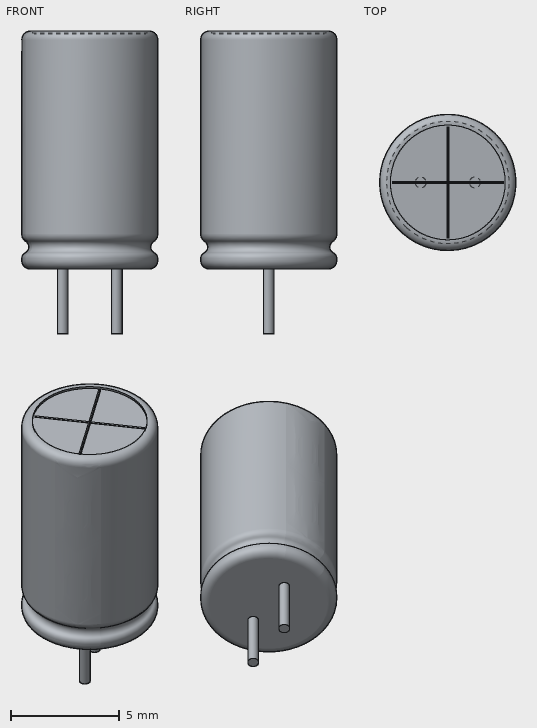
import cadquery as cq
import math

total_height = 14.0
can_radius = 3.15
can_base = 3.0

edge_radius = 0.4

neck_height = 4.02
neck_depth = 0.32
neck_arc_radius = 0.31
upper_bend_radius = edge_radius
lower_bend_radius = 0.3

recess_radius = 2.653
recess_depth = 0.1
vent_length = 5.12
vent_width = 0.1
vent_depth = vent_width / 2

lead_diameter = 0.5
lead_spacing = 2.5
lead_embed = 0.28

stripe_angle = 40.0
mark_pitch = 4.2
mark_line_width = 0.13
oval_width = 1.26
oval_height = 2.02
first_oval_height = 10.9
first_chevron_tip = 12.87
oval_heights = [first_oval_height - i * mark_pitch for i in range(2)]
chevron_half_width = can_radius * math.sin(math.radians(stripe_angle / 2))
chevron_rise = 0.73
chevron_tips = [first_chevron_tip - i * mark_pitch for i in range(3)]


def arc_point(center, radius, angle):
    """Point on a circle in the radius-height plane, angle in radians from the outward direction."""
    return (center[0] + radius * math.cos(angle), center[1] + radius * math.sin(angle))


def bend_layout(bend_radius, side):
    """Centre and sweep of a bend tangent to both wall and neck arc; side is +1 above, -1 below."""
    center_distance = bend_radius + neck_arc_radius
    sweep = math.acos(1 - neck_depth / center_distance)
    center = (can_radius - bend_radius, neck_height + side * center_distance * math.sin(sweep))
    return center, sweep


def make_can():
    """Solid of revolution with rounded ends and a smoothly rolled neck."""
    flat_radius = can_radius - edge_radius
    bottom_edge = (flat_radius, can_base + edge_radius)
    top_edge = (flat_radius, total_height - edge_radius)
    lower, lower_sweep = bend_layout(lower_bend_radius, -1)
    upper, upper_sweep = bend_layout(upper_bend_radius, 1)
    eighth_turn = math.pi / 4

    profile = (
        cq.Workplane("XZ")
        .moveTo(0, can_base)
        .lineTo(flat_radius, can_base)
        .threePointArc(
            arc_point(bottom_edge, edge_radius, -eighth_turn),
            arc_point(bottom_edge, edge_radius, 0),
        )
        .lineTo(*arc_point(lower, lower_bend_radius, 0))
        .threePointArc(
            arc_point(lower, lower_bend_radius, lower_sweep / 2),
            arc_point(lower, lower_bend_radius, lower_sweep),
        )
        .threePointArc(
            (can_radius - neck_depth, neck_height),
            arc_point(upper, upper_bend_radius, -upper_sweep),
        )
        .threePointArc(
            arc_point(upper, upper_bend_radius, -upper_sweep / 2),
            arc_point(upper, upper_bend_radius, 0),
        )
        .lineTo(*arc_point(top_edge, edge_radius, 0))
        .threePointArc(
            arc_point(top_edge, edge_radius, eighth_turn),
            arc_point(top_edge, edge_radius, 2 * eighth_turn),
        )
        .lineTo(0, total_height)
        .close()
    )
    seam_angle = 180 - stripe_angle / 2
    return profile.revolve(360, (0, 0), (0, 1)).rotate((0, 0, 0), (0, 0, 1), seam_angle)


def make_top_cutter():
    """Shallow round recess with two crossed V-grooves in its floor."""
    floor = total_height - recess_depth
    recess = cq.Workplane("XY").workplane(offset=floor).circle(recess_radius).extrude(recess_depth)
    groove = (
        cq.Workplane("XZ")
        .polyline([(-vent_width / 2, floor), (vent_width / 2, floor), (0, floor - vent_depth)])
        .close()
        .extrude(vent_length / 2, both=True)
    )
    crossing_groove = groove.rotate((0, 0, 0), (0, 0, 1), 90)
    return recess.union(groove).union(crossing_groove)


def make_leads():
    """Two round leads reaching a little way into the can."""
    return (
        cq.Workplane("XY")
        .pushPoints([(-lead_spacing / 2, 0), (lead_spacing / 2, 0)])
        .circle(lead_diameter / 2)
        .extrude(can_base + lead_embed)
    )


def make_stripe_sector():
    """Sector of a ring covering the polarity stripe over the full can height."""
    half_angle = math.radians(stripe_angle / 2)
    reach = 2 * can_radius
    side = reach * math.tan(half_angle)
    wedge = (
        cq.Workplane("XY")
        .workplane(offset=can_base)
        .polyline([(0, 0), (-reach, side), (-reach, -side)])
        .close()
        .extrude(total_height - can_base)
    )
    core = cq.Workplane("XY").circle(recess_radius).extrude(total_height)
    return wedge.cut(core)


def make_mark_prisms():
    """Oval rings and chevron bands, as prisms running from the axis out through the -X side."""
    side_plane = cq.Workplane("YZ")
    reach = -2 * can_radius
    oval_centers = [(0, height) for height in oval_heights]
    ovals = side_plane.pushPoints(oval_centers).slot2D(oval_height, oval_width, 90).extrude(reach)
    oval_insides = (
        side_plane.pushPoints(oval_centers)
        .slot2D(oval_height - 2 * mark_line_width, oval_width - 2 * mark_line_width, 90)
        .extrude(reach)
    )
    prisms = ovals.cut(oval_insides)
    for tip in chevron_tips:
        side_height = tip + chevron_rise
        chevron = (
            side_plane.moveTo(0, tip)
            .lineTo(chevron_half_width, side_height)
            .lineTo(chevron_half_width, side_height + mark_line_width)
            .lineTo(0, tip + mark_line_width)
            .lineTo(-chevron_half_width, side_height + mark_line_width)
            .lineTo(-chevron_half_width, side_height)
            .close()
            .extrude(reach)
        )
        prisms = prisms.union(chevron)
    return prisms


body = make_can().cut(make_top_cutter()).union(make_leads())

stripe = body.intersect(make_stripe_sector())
marks = stripe.intersect(make_mark_prisms())
result = body.union(stripe, clean=False).union(marks, clean=False)